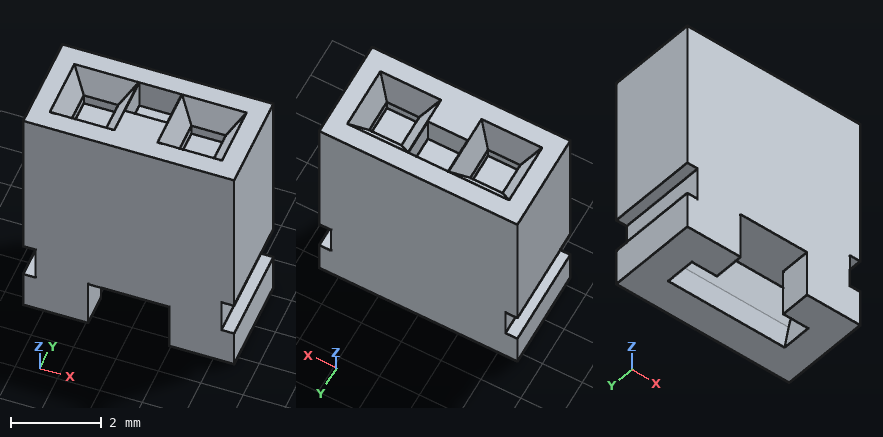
import cadquery as cq
import math

length = 4.98
width = 2.44
height = 6.04

socket_pitch = 2.54
funnel_mouth = 1.52
funnel_depth = 0.52
throat_size = 0.81
throat_depth = 0.26

recess_length = 1.0
recess_width = 0.9
recess_depth = 0.76

groove_depth = 0.3
groove_bottom = 1.01
groove_height = 0.91

window_length = 1.91
window_height = 1.28

cavity_length = socket_pitch + throat_size
cavity_front_y = -throat_size / 2
cavity_back_y = throat_size / 2
knee_height = 0.51
lower_lean_angle = 15.0
upper_lean_angle = 19.3


def make_block(size_x, size_y, size_z, x, y, bottom_z):
    """Block centred on (x, y) and rising from bottom_z."""
    block = cq.Workplane("XY", origin=(x, y, bottom_z))
    return block.box(size_x, size_y, size_z, centered=(True, True, False))


def make_socket(x):
    throat_top = height - funnel_depth
    funnel = (
        cq.Workplane("XY", origin=(x, 0, height))
        .rect(funnel_mouth, funnel_mouth)
        .workplane(offset=-funnel_depth)
        .rect(throat_size, throat_size)
        .loft(ruled=True)
    )
    throat = make_block(throat_size, throat_size, throat_depth, x, 0, throat_top - throat_depth)
    return funnel.union(throat)


def make_recess():
    center_y = (funnel_mouth - recess_width) / 2
    return make_block(recess_length, recess_width, recess_depth, 0, center_y, height - recess_depth)


def make_end_groove(side):
    center_x = side * (length - groove_depth) / 2
    return make_block(groove_depth, width, groove_height, center_x, 0, groove_bottom)


def make_window():
    front_y = -width / 2
    wall_thickness = cavity_front_y - front_y
    center_y = (cavity_front_y + front_y) / 2
    return make_block(window_length, wall_thickness, window_height, 0, center_y, 0)


def make_bottom_cavity():
    upper_rise = window_height - knee_height
    knee_y = cavity_back_y - knee_height * math.tan(math.radians(lower_lean_angle))
    top_y = knee_y - upper_rise * math.tan(math.radians(upper_lean_angle))
    profile = [
        (cavity_front_y, 0),
        (cavity_back_y, 0),
        (knee_y, knee_height),
        (top_y, window_height),
        (cavity_front_y, window_height),
    ]
    return (
        cq.Workplane("YZ", origin=(-cavity_length / 2, 0, 0))
        .polyline(profile)
        .close()
        .extrude(cavity_length)
    )


body = make_block(length, width, height, 0, 0, 0)
for side in (-1, 1):
    body = body.cut(make_socket(side * socket_pitch / 2))
    body = body.cut(make_end_groove(side))
body = body.cut(make_recess())
body = body.cut(make_window())
result = body.cut(make_bottom_cavity())